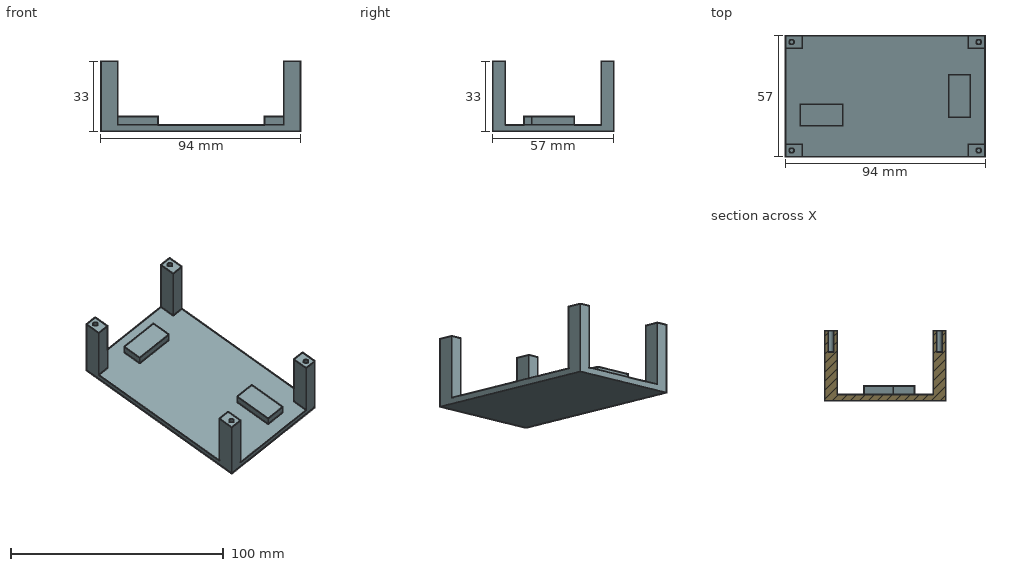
import cadquery as cq

plate_length = 94.0
plate_width = 57.0
plate_thickness = 3.0
total_height = 33.0

post_length = 8.0
post_width = 6.0
post_height = total_height - plate_thickness

hole_diameter = 2.3
hole_inset = 3.0
hole_depth = 10.0

pad_long_side = 20.0
pad_short_side = 10.0
pad_height = 4.0
left_pad_corner = (7.0, 14.68)
right_pad_corner = (77.0, (plate_width - pad_long_side) / 2)


def block(corner, length, width, height):
    """Box standing on the plate, placed by its lower left corner.

    It reaches down through the plate so that the two merge into one solid.
    """
    x, y = corner
    return cq.Workplane("XY").box(
        length, width, plate_thickness + height, centered=False
    ).translate((x, y, 0))


def add_posts(body):
    """Put one post in each corner of the plate."""
    for x in (0, plate_length - post_length):
        for y in (0, plate_width - post_width):
            body = body.union(block((x, y), post_length, post_width, post_height))
    return body


def add_pads(body):
    """Add one pad lying along X and one lying along Y."""
    left_pad = block(left_pad_corner, pad_long_side, pad_short_side, pad_height)
    right_pad = block(right_pad_corner, pad_short_side, pad_long_side, pad_height)
    return body.union(left_pad).union(right_pad)


def cut_screw_holes(body):
    """Drill a blind hole down into each post, equally far from both outer sides."""
    centers = [
        (x, y)
        for x in (hole_inset, plate_length - hole_inset)
        for y in (hole_inset, plate_width - hole_inset)
    ]
    drills = (
        cq.Workplane("XY")
        .workplane(offset=total_height)
        .pushPoints(centers)
        .circle(hole_diameter / 2)
        .extrude(-hole_depth)
    )
    return body.cut(drills)


plate = cq.Workplane("XY").box(plate_length, plate_width, plate_thickness, centered=False)
result = cut_screw_holes(add_pads(add_posts(plate)))